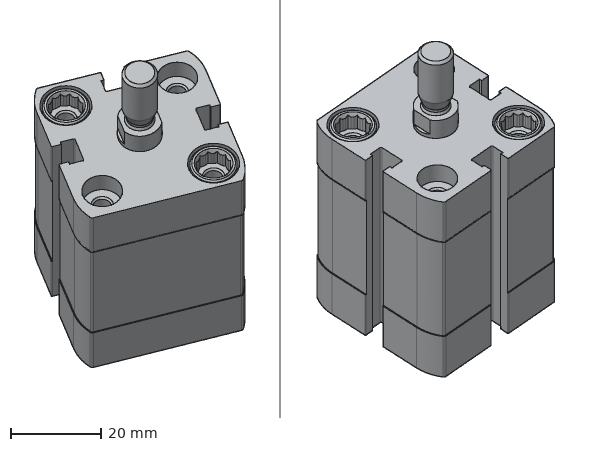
import cadquery as cq
import math

TOTAL_HEIGHT = 73.2
HOUSING_HEIGHT = 51.8

CAP_WIDTH = 39.5
CAP_HEIGHT = 12.0
BARREL_WIDTH = 39.0
CORNER_CENTER_X = 13.0
CORNER_CENTER_Y = 7.75
SIDE_EDGE_FILLET = 0.75

SLOT_MOUTH_WIDTH = 5.3
SLOT_WIDTH = 6.65
SLOT_LIP = 2.3
SLOT_DEPTH = 5.65
SLOT_FLOOR_FILLET = 0.3
SLOT_MOUTH_FILLET = 0.2

HOLE_OFFSET = 13.0
THROUGH_DIAMETER = 4.13
THROUGH_CHAMFER_DIAMETER = 5.0
COUNTERBORE_DIAMETER = 9.0
COUNTERBORE_DEPTH = 4.9

SOCKET_DIAMETER = 7.5
SOCKET_DEPTH = 4.6
SOCKET_CHAMFER_WIDTH = 0.55
SOCKET_CHAMFER_DEPTH = 1.1
SPLINE_COUNT = 12
SPLINE_TIP_RADIUS = 4.0
SPLINE_HALF_WIDTH = 0.65
GROOVE_OUTER_DIAMETER = 11.5
GROOVE_INNER_DIAMETER = 10.5
GROOVE_CHAMFER = 0.4

COLLAR_DIAMETER = 10.0
COLLAR_HEIGHT = 5.3
FLATS_WIDTH = 8.75
FLATS_BOTTOM = 1.1
FLATS_LEDGE_DROP = 0.2
NECK_DIAMETER = 6.1
NECK_BOTTOM = 6.0
NECK_TOP = 6.7
NECK_FILLET_FOOT = 3.4
TAPER_START_RADIUS = 3.2
TAPER_START = 6.95
THREAD_DIAMETER = 7.94
THREAD_BOTTOM = 9.45
THREAD_CHAMFER = 0.65


def housing_section(width, bottom, height):
    """Prism with flat X faces and Y faces that curve away at the corners."""
    half = width / 2
    corner_radius = half - CORNER_CENTER_Y
    corner_run = half - CORNER_CENTER_X
    middle_run = corner_run / 2

    def arc_height(run):
        return CORNER_CENTER_Y + math.sqrt(corner_radius**2 - run**2)

    corner_y = arc_height(corner_run)
    middle_x = CORNER_CENTER_X + middle_run
    middle_y = arc_height(middle_run)
    section = (
        cq.Workplane("XY", origin=(0, 0, bottom))
        .moveTo(-CORNER_CENTER_X, half)
        .lineTo(CORNER_CENTER_X, half)
        .threePointArc((middle_x, middle_y), (half, corner_y))
        .lineTo(half, -corner_y)
        .threePointArc((middle_x, -middle_y), (CORNER_CENTER_X, -half))
        .lineTo(-CORNER_CENTER_X, -half)
        .threePointArc((-middle_x, -middle_y), (-half, -corner_y))
        .lineTo(-half, corner_y)
        .threePointArc((-middle_x, middle_y), (-CORNER_CENTER_X, half))
        .close()
        .extrude(height)
    )
    return section.edges("|Z and (<X or >X)").fillet(SIDE_EDGE_FILLET)


def slot_cutter(angle):
    """T-slot along the full height, opening at +X and turned about Z by angle."""
    face = CAP_WIDTH / 2
    floor = face - SLOT_DEPTH
    chamber_length = SLOT_DEPTH - SLOT_LIP
    chamber = (
        cq.Workplane("XY")
        .center(floor + chamber_length / 2, 0)
        .rect(chamber_length, SLOT_WIDTH)
        .extrude(HOUSING_HEIGHT)
        .edges("|Z and <X")
        .fillet(SLOT_FLOOR_FILLET)
    )
    mouth = (
        cq.Workplane("XY")
        .center(floor + SLOT_DEPTH / 2, 0)
        .rect(SLOT_DEPTH, SLOT_MOUTH_WIDTH)
        .extrude(HOUSING_HEIGHT)
    )
    cutter = chamber.union(mouth)
    for cap_bottom in (0, HOUSING_HEIGHT - CAP_HEIGHT):
        for side in (-1, 1):
            cutter = cutter.union(mouth_rounding(side, cap_bottom))
    return cutter.rotate((0, 0, 0), (0, 0, 1), angle)


def mouth_rounding(side, cap_bottom):
    """Sliver that rounds one mouth edge of a slot within one end cap."""
    face = CAP_WIDTH / 2
    edge = SLOT_MOUTH_WIDTH / 2
    radius = SLOT_MOUTH_FILLET
    bulge = radius * (1 - math.sqrt(0.5))
    return (
        cq.Workplane("XY", origin=(0, 0, cap_bottom))
        .moveTo(face - radius, side * edge)
        .threePointArc((face - bulge, side * (edge + bulge)), (face, side * (edge + radius)))
        .lineTo(face, side * edge)
        .close()
        .extrude(CAP_HEIGHT)
    )


def revolved(points):
    """Solid of revolution about Z from (radius, height) points."""
    return cq.Workplane("XZ").polyline(points).close().revolve(360, (0, 0), (0, 1))


def bolt_hole_cutter(seat_depth):
    """Through hole with a chamfered mouth in the floor of its recess."""
    seat = HOUSING_HEIGHT - seat_depth
    radius = THROUGH_DIAMETER / 2
    mouth_radius = THROUGH_CHAMFER_DIAMETER / 2
    return revolved([
        (0, 0),
        (radius, 0),
        (radius, seat - (mouth_radius - radius)),
        (mouth_radius, seat),
        (0, seat),
    ])


def counterbored_hole_cutter():
    counterbore = (
        cq.Workplane("XY", origin=(0, 0, HOUSING_HEIGHT - COUNTERBORE_DEPTH))
        .circle(COUNTERBORE_DIAMETER / 2)
        .extrude(COUNTERBORE_DEPTH)
    )
    return counterbore.union(bolt_hole_cutter(COUNTERBORE_DEPTH))


def splined_socket_cutter():
    """Chamfered socket with V-shaped splines above a through hole."""
    floor = HOUSING_HEIGHT - SOCKET_DEPTH
    radius = SOCKET_DIAMETER / 2
    cutter = revolved([
        (0, floor),
        (radius, floor),
        (radius, HOUSING_HEIGHT - SOCKET_CHAMFER_DEPTH),
        (radius + SOCKET_CHAMFER_WIDTH, HOUSING_HEIGHT),
        (0, HOUSING_HEIGHT),
    ])
    wall_x = math.sqrt(radius**2 - SPLINE_HALF_WIDTH**2)
    spline = (
        cq.Workplane("XY", origin=(0, 0, floor))
        .polyline([
            (0, 0),
            (wall_x, -SPLINE_HALF_WIDTH),
            (SPLINE_TIP_RADIUS, 0),
            (wall_x, SPLINE_HALF_WIDTH),
        ])
        .close()
        .extrude(SOCKET_DEPTH)
    )
    for index in range(SPLINE_COUNT):
        angle = index * 360 / SPLINE_COUNT
        cutter = cutter.union(spline.rotate((0, 0, 0), (0, 0, 1), angle))
    return cutter.union(bolt_hole_cutter(SOCKET_DEPTH))


def ring_groove_cutter():
    """Annular groove around a socket, widened at its inner rim by a chamfer."""
    floor = HOUSING_HEIGHT - SOCKET_DEPTH
    outer = GROOVE_OUTER_DIAMETER / 2
    inner = GROOVE_INNER_DIAMETER / 2
    return revolved([
        (inner, floor),
        (outer, floor),
        (outer, HOUSING_HEIGHT),
        (inner - GROOVE_CHAMFER, HOUSING_HEIGHT),
        (inner, HOUSING_HEIGHT - GROOVE_CHAMFER),
    ])


def make_housing():
    upper_cap_bottom = HOUSING_HEIGHT - CAP_HEIGHT
    body = housing_section(BARREL_WIDTH, CAP_HEIGHT, upper_cap_bottom - CAP_HEIGHT)
    for cap_bottom in (0, upper_cap_bottom):
        body = body.union(housing_section(CAP_WIDTH, cap_bottom, CAP_HEIGHT))

    for angle in (90, 180, 270):
        body = body.cut(slot_cutter(angle))

    counterbored_hole = counterbored_hole_cutter()
    splined_socket = splined_socket_cutter()
    ring_groove = ring_groove_cutter()
    for side in (-1, 1):
        offset = side * HOLE_OFFSET
        body = body.cut(counterbored_hole.translate((offset, -offset, 0)))
        body = body.cut(splined_socket.translate((offset, offset, 0)))
        body = body.cut(ring_groove.translate((offset, offset, 0)))
    return body


def wrench_flat_cutter(side):
    """Removes one side of the collar down to a flat with a sloping ledge."""
    flat = side * FLATS_WIDTH / 2
    surface = side * COLLAR_DIAMETER / 2
    return (
        cq.Workplane("YZ", origin=(-COLLAR_DIAMETER / 2, 0, 0))
        .polyline([
            (flat, FLATS_BOTTOM),
            (surface, FLATS_BOTTOM - FLATS_LEDGE_DROP),
            (surface, COLLAR_HEIGHT),
            (flat, COLLAR_HEIGHT),
        ])
        .close()
        .extrude(COLLAR_DIAMETER)
    )


def make_piston_rod():
    """Rod standing on the housing: collar with two flats, neck and thread shank."""
    rod_height = TOTAL_HEIGHT - HOUSING_HEIGHT
    thread_radius = THREAD_DIAMETER / 2
    rod = revolved([
        (0, 0),
        (COLLAR_DIAMETER / 2, 0),
        (COLLAR_DIAMETER / 2, COLLAR_HEIGHT),
        (NECK_FILLET_FOOT, COLLAR_HEIGHT),
        (NECK_DIAMETER / 2, NECK_BOTTOM),
        (NECK_DIAMETER / 2, NECK_TOP),
        (TAPER_START_RADIUS, TAPER_START),
        (thread_radius, THREAD_BOTTOM),
        (thread_radius, rod_height - THREAD_CHAMFER),
        (thread_radius - THREAD_CHAMFER, rod_height),
        (0, rod_height),
    ])
    for side in (-1, 1):
        rod = rod.cut(wrench_flat_cutter(side))
    return rod.translate((0, 0, HOUSING_HEIGHT))


housing = make_housing()
piston_rod = make_piston_rod()
result = cq.Compound.makeCompound([housing.val(), piston_rod.val()])